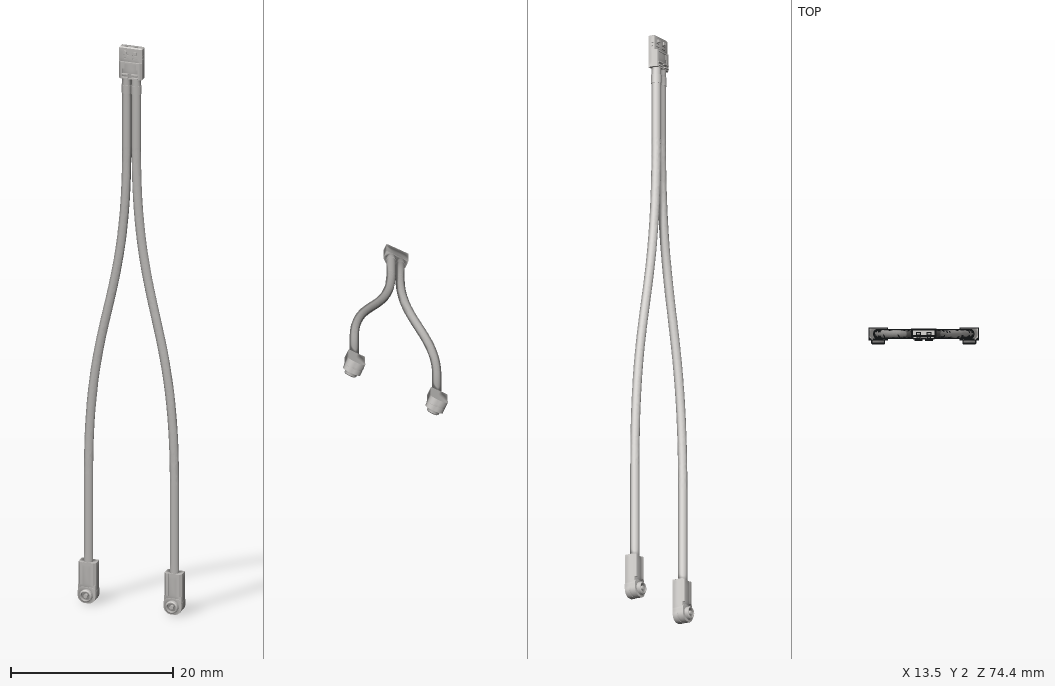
import cadquery as cq

overall_width = 13.54
overall_height = 74.36
overall_depth = 2.0

cable_diameter = 1.14
cable_pitch = 1.24
cable_insertion = 0.1
bend_start_z = -13.2
bend_end_z = -57.3
bend_handle = 0.5

sleeve_diameter = 1.26
sleeve_top_z = -5.0
sleeve_bottom_z = -6.1

plug_width = 3.0
plug_height = 4.1
plug_back_y = 0.6
plug_nose_front_y = -0.32
plug_body_front_y = -0.6
plug_nose_height = 1.9
plug_edge_chamfer = 0.25
plug_top_chamfer = 0.12
contact_pitch = 1.3
contact_width = 0.75
contact_entry_width = 0.45
contact_entry_front_y = -0.15
contact_entry_back_y = 0.15
contact_entry_depth = 0.6
contact_slot_height = 0.1
contact_slot_depth = 0.15
contact_slot_z = (-1.0, -1.45)
side_slot_depth = 0.12
side_slot_front_y = -0.2
side_slot_back_y = 0.1
latch_width = 0.4
latch_height = 0.35
latch_z = -0.65
latch_front_y = -0.5
window_upper_width = 1.5
window_lower_width = 1.95
window_upper_height = 0.75
window_step_z = -2.8
window_bottom_z = -3.95
window_depth = 0.16
window_rim_depth = 0.08
rib_width = 0.85
rib_height = 0.12
rib_front_y = -0.8
rib_z = (-3.45, -3.9)

head_width = 2.32
head_height = 2.1
head_corner_radius = 0.95
head_top_radius = 0.6
boss_to_bottom = 1.09
body_back_y = 0.75
boss_front_y = body_back_y - overall_depth
can_front_y = -0.75
boss_diameter = 1.6
boss_chamfer = 0.12
pin_diameter = 0.5
boss_rim_width = 0.2
boss_bore_depth = 0.5
gap_back_y = 0.08
gap_front_y = -0.12
gap_rise = 0.08
crimp_top_z = -69.0
crimp_bottom_z = -71.95
crimp_width = 2.26
crimp_chamfer = 0.3
crimp_opening_width = 1.1
crimp_opening_depth = 0.12

head_x = (overall_width - head_width) / 2
head_z = -overall_height + boss_to_bottom


def block(width, front_y, back_y, bottom_z, top_z, center_x=0.0):
    """Box centred on center_x that fills the given Y and Z ranges."""
    box = cq.Workplane("XY").box(width, back_y - front_y, top_z - bottom_z, centered=(True, False, False))
    return box.translate((center_x, front_y, bottom_z))


def disc(diameter, front_y, back_y, center_x):
    """Cylinder along Y on the axis of a coaxial connector."""
    face = cq.Workplane("XZ", origin=(center_x, back_y, head_z)).circle(diameter / 2)
    return face.extrude(back_y - front_y)


def make_cable(side):
    """Cable that leaves the plug straight, bends outwards and ends straight in a coaxial connector."""
    plug_x = side * cable_pitch / 2
    end_x = side * head_x
    handle = bend_handle * (bend_start_z - bend_end_z)
    start_z = -plug_height + cable_insertion
    path = (
        cq.Workplane("XZ")
        .moveTo(plug_x, start_z)
        .lineTo(plug_x, bend_start_z)
        .bezier(
            [
                (plug_x, bend_start_z),
                (plug_x, bend_start_z - handle),
                (end_x, bend_end_z + handle),
                (end_x, bend_end_z),
            ]
        )
        .lineTo(end_x, head_z)
    )
    section = cq.Workplane("XY", origin=(plug_x, 0, start_z)).circle(cable_diameter / 2)
    return section.sweep(path)


def make_sleeve(side):
    """Thicker ring on a cable; the two rings merge between the cables."""
    section = cq.Workplane("XY", origin=(side * cable_pitch / 2, 0, sleeve_bottom_z))
    return section.circle(sleeve_diameter / 2).extrude(sleeve_top_z - sleeve_bottom_z)


def add_contact_details(plug, side):
    """Top entry, latch, front and side slots, and ribs of one contact."""
    x = side * contact_pitch / 2
    slot_back_y = plug_nose_front_y + contact_slot_depth
    latch_bottom_z = latch_z - latch_height / 2
    latch_top_z = latch_z + latch_height / 2
    plug = plug.union(block(latch_width, latch_front_y, plug_back_y, latch_bottom_z, latch_top_z, x))
    for z in contact_slot_z:
        top_z = z + contact_slot_height / 2
        bottom_z = z - contact_slot_height / 2
        plug = plug.cut(block(contact_width, plug_nose_front_y, slot_back_y, bottom_z, top_z, x))
        side_x = side * (plug_width - side_slot_depth) / 2
        plug = plug.cut(block(side_slot_depth, side_slot_front_y, side_slot_back_y, bottom_z, top_z, side_x))
    for z in rib_z:
        top_z = z + rib_height / 2
        bottom_z = z - rib_height / 2
        plug = plug.union(block(rib_width, rib_front_y, plug_back_y, bottom_z, top_z, x))
    return plug.cut(
        block(contact_entry_width, contact_entry_front_y, contact_entry_back_y, -contact_entry_depth, 0, x)
    )


def make_plug():
    """Two-way plug: a thin nose above a deeper body with a stepped window."""
    nose = block(plug_width, plug_nose_front_y, plug_back_y, -plug_height, 0)
    nose = nose.faces(">Z").edges().chamfer(plug_top_chamfer)
    body = block(plug_width, plug_body_front_y, plug_back_y, -plug_height, -plug_nose_height)
    body = body.edges("|Z and <Y").chamfer(plug_edge_chamfer)
    plug = nose.union(body)
    window_back_y = plug_body_front_y + window_depth
    window_top_z = window_step_z + window_upper_height
    rim_back_y = plug_body_front_y + window_rim_depth
    plug = plug.cut(
        block(window_lower_width, plug_body_front_y, rim_back_y, window_step_z, window_top_z)
    )
    plug = plug.cut(
        block(window_upper_width, plug_body_front_y, window_back_y, window_step_z, window_top_z)
    )
    plug = plug.cut(
        block(window_lower_width, plug_body_front_y, window_back_y, window_bottom_z, window_step_z)
    )
    for side in (-1, 1):
        plug = add_contact_details(plug, side)
    return plug


def head_layer(rise, front_y, back_y, center_x):
    """Layer of the round-bottomed head, its bottom lifted by the rise."""
    bottom_z = -overall_height + rise
    top_z = -overall_height + head_height
    layer = block(head_width, front_y, back_y, bottom_z, top_z, center_x)
    layer = layer.edges("|Y and <Z").fillet(head_corner_radius)
    return layer.edges("|Y and >Z").fillet(head_top_radius)


def make_coaxial_connector(side):
    """Crimp around the cable end and a two-layer head with a ring-shaped boss and centre pin toward -Y."""
    x = side * head_x
    crimp = block(crimp_width, can_front_y, body_back_y, crimp_bottom_z, crimp_top_z, x)
    crimp = crimp.edges("|Z and <Y").chamfer(crimp_chamfer)
    floor_y = can_front_y + crimp_opening_depth
    crimp = crimp.cut(block(crimp_opening_width, can_front_y, floor_y, crimp_bottom_z, crimp_top_z, x))
    neck = block(crimp_width, floor_y, body_back_y, head_z, crimp_bottom_z, x)
    core = head_layer(gap_rise, gap_front_y, gap_back_y, x)
    back_plate = head_layer(0, gap_back_y, body_back_y, x)
    can = head_layer(0, can_front_y, gap_front_y, x)
    boss = disc(boss_diameter, boss_front_y, can_front_y, x).faces("<Y").edges().chamfer(boss_chamfer)
    bore_back_y = boss_front_y + boss_bore_depth
    bore = disc(boss_diameter - 2 * boss_rim_width, boss_front_y, bore_back_y, x)
    bore = bore.cut(disc(pin_diameter, boss_front_y, bore_back_y, x))
    connector = crimp
    for piece in (neck, core, back_plate, can, boss):
        connector = connector.union(piece)
    return connector.cut(bore)


result = make_plug()
for end_side in (-1, 1):
    result = result.union(make_cable(end_side))
    result = result.union(make_sleeve(end_side))
    result = result.union(make_coaxial_connector(end_side))